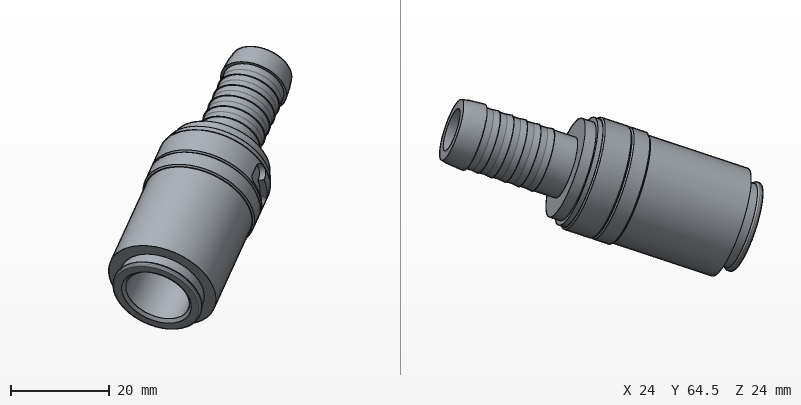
import cadquery as cq
import math

length = 64.5

nose_radius = 9.0
bead_radius = 9.5
bead_width = 1.15
bead_round = 0.4
nose_length = 3.55

body_radius = 11.55
sleeve_radius = 12.0
sleeve_chamfer = 0.3
sleeve_start = 25.7
groove_center = 29.75
sleeve_end = 36.05
body_end = 37.15
collar_radius = 10.6
collar_end = 39.55

tail_radius = 6.5
barb_radius = 6.7
barb_start = 44.65
barb_pitch = 2.95
barb_length = barb_pitch / 2
barb_count = 5
end_barb_start = 59.6
end_barb_radius = 7.1
end_barb_middle_radius = 6.95

socket_chamfer = 0.65
socket_radius = 6.85
socket_depth = 25.8
passage_radius = 4.5

slot_floor_radius = 10.5
slot_start_angle = -13.0
slot_end_angle = 37.0
slot_front = 30.45
slot_back = 33.7
slot_corner_radius = 1.3
notch_back = 35.75
notch_radius = 1.9
cutter_radius = sleeve_radius + 1.3


def ring(inner, outer, start, end):
    """Tube around the Y axis between two Y positions."""
    tube = cq.Workplane("XZ", origin=(0, start, 0)).circle(outer)
    if inner > 0:
        tube = tube.circle(inner)
    return tube.extrude(start - end)


def barb(start):
    """Shallow barb: highest at its nose-side edge, tapering back to the tail."""
    end = start + barb_length
    profile = [(0, start), (barb_radius, start), (tail_radius, end), (0, end)]
    return cq.Workplane("XY").polyline(profile).close().revolve(360, (0, 0), (0, 1))


def band(start, end):
    """Raised sleeve band with both rims chamfered."""
    return ring(0, sleeve_radius, start, end).edges().chamfer(sleeve_chamfer)


def make_outside():
    solid = ring(0, nose_radius, 0, nose_length)
    solid = solid.union(ring(0, bead_radius, 0, bead_width).edges().fillet(bead_round))
    solid = solid.union(ring(0, body_radius, nose_length, body_end))
    solid = solid.union(band(sleeve_start, groove_center))
    solid = solid.union(band(groove_center, sleeve_end))
    solid = solid.union(ring(0, collar_radius, body_end, collar_end))
    solid = solid.union(ring(0, tail_radius, collar_end, end_barb_start))
    for index in range(barb_count):
        solid = solid.union(barb(barb_start + index * barb_pitch))
    end_barb = (
        cq.Workplane("XY")
        .moveTo(0, end_barb_start)
        .lineTo(end_barb_radius, end_barb_start)
        .threePointArc((end_barb_middle_radius, (end_barb_start + length) / 2), (tail_radius, length))
        .lineTo(0, length)
        .close()
        .revolve(360, (0, 0), (0, 1))
    )
    return solid.union(end_barb)


def make_bore():
    socket = ring(0, socket_radius, 0, socket_depth)
    mouth_profile = [
        (0, 0),
        (socket_radius + socket_chamfer, 0),
        (socket_radius, socket_chamfer),
        (0, socket_chamfer),
    ]
    mouth = cq.Workplane("XY").polyline(mouth_profile).close().revolve(360, (0, 0), (0, 1))
    return socket.union(mouth).union(ring(0, passage_radius, 0, length))


def sector(start_angle, end_angle, start, end):
    """Wedge around the Y axis between two angles and two Y positions."""
    wedge = (
        cq.Workplane("XY")
        .moveTo(0, start)
        .lineTo(cutter_radius, start)
        .lineTo(cutter_radius, end)
        .lineTo(0, end)
        .close()
        .revolve(end_angle - start_angle, (0, 0), (0, 1))
    )
    return wedge.rotate((0, 0, 0), (0, 1, 0), -end_angle)


def radial_pin(angle, y, radius):
    """Round cutter pointing outward from the Y axis."""
    pin = cq.Workplane("YZ", origin=(0, y, 0)).circle(radius).extrude(cutter_radius)
    return pin.rotate((0, 0, 0), (0, 1, 0), -angle)


def angle_across(distance):
    """Angle whose half-chord is the given distance at the sleeve surface."""
    return math.degrees(math.asin(distance / sleeve_radius))


def make_slot():
    corner_angle = angle_across(slot_corner_radius)
    first_corner = slot_start_angle + corner_angle
    last_corner = slot_end_angle - corner_angle
    front_corner = slot_front + slot_corner_radius
    back_corner = slot_back - slot_corner_radius
    notch_half_angle = angle_across(notch_radius)
    notch_angle = slot_end_angle - notch_half_angle
    notch_center = notch_back - notch_radius

    slot = sector(first_corner, last_corner, slot_front, slot_back)
    slot = slot.union(sector(slot_start_angle, first_corner, front_corner, back_corner))
    slot = slot.union(sector(notch_angle - notch_half_angle, slot_end_angle, front_corner, notch_center))
    for angle, y in [
        (first_corner, front_corner),
        (first_corner, back_corner),
        (last_corner, front_corner),
    ]:
        slot = slot.union(radial_pin(angle, y, slot_corner_radius))
    slot = slot.union(radial_pin(notch_angle, notch_center, notch_radius))
    return slot.intersect(ring(slot_floor_radius, cutter_radius, slot_front, notch_back))


result = make_outside().cut(make_bore()).cut(make_slot())